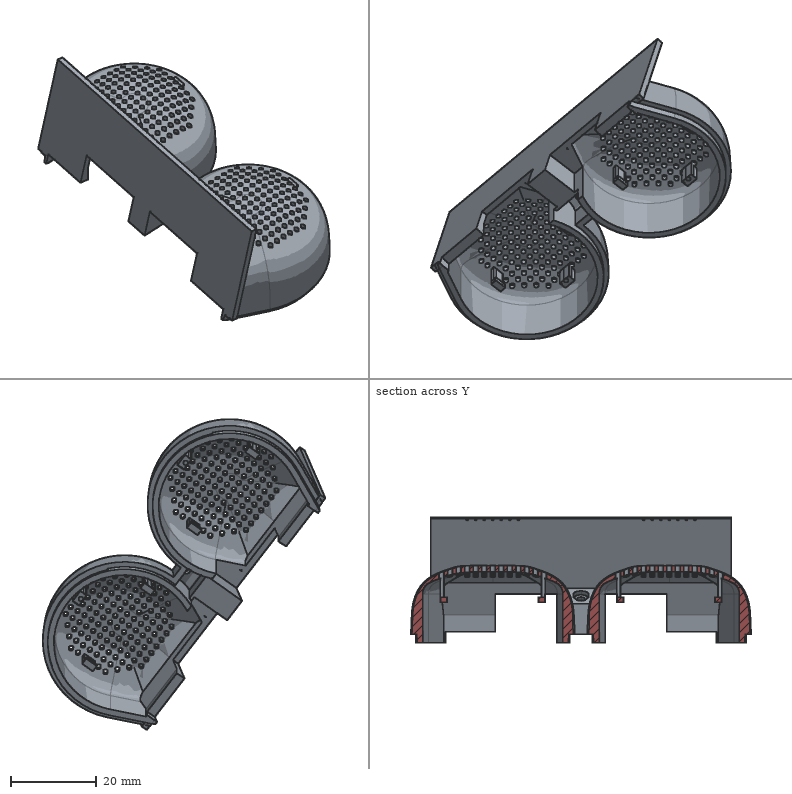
import cadquery as cq
import math

overall_width = 79.87
overall_height = 29.39
dome_radius = 19.25
dome_x = overall_width / 2 - dome_radius
far = 60.0

dome_base = 2.0
dome_top = 18.15
flat_radius = 3.3
wall_bend_radius = 18.75
wall_bend_height = 9.0
shoulder_radius = 15.6
shoulder_height = 14.7
crown_radius = 10.0
crown_height = 17.4
flank_angle = 24.6

cavity_radius = 16.6
cavity_bend_height = 11.5
cavity_shoulder_radius = 14.0
cavity_shoulder_height = 14.5
cavity_top = 16.65
ring_radius = 18.05
ring_groove_bottom = 1.05
ring_groove_radius = 17.05
ring_groove_start = 13.6

plate_width = 70.5
plate_thickness = 1.5
plate_angle = 12.5
plate_top_y = -11.15
plate_bottom_z = 2.2
ring_end_z = 0.2

opening_inner_x = 2.95
opening_outer_x = 20.05
opening_top = 11.4
opening_back_y = -7.2
slot_half_width = 11.07
slot_top = 3.1
slot_front_y = -17.0
slot_back_y = -13.0

bridge_half_width = 7.0
bridge_top = 12.75
bridge_bend_y = -6.1
bridge_arc_radius = 7.0
bridge_wall = 2.1
bridge_rear_wall = 1.5
bridge_hollow_front_y = -6.4
passage_top = 4.1

screw_y = -1.75
screw_diameter = 1.9
head_diameter = 3.65
head_depth = 1.25
screw_tilt = 35.0

hole_diameter = 1.1
hole_pitch = 2.0
grille_y = 1.77
grille_rows = [7, 9, 11, 13, 13, 13, 13, 13, 13, 11, 9, 7]

clip_half_width = 1.55
clip_outer = 12.3
clip_inner = 11.4
clip_top = 16.15
hook_reach = 10.7
hook_bottom = 9.5
hook_top = 10.7
back_clip_bottom = 10.5


def block(x_range, y_range, z_range):
    size = [high - low for low, high in (x_range, y_range, z_range)]
    corner = (x_range[0], y_range[0], z_range[0])
    return cq.Workplane("XY").box(*size, centered=False).translate(corner)


def outer_profile(plane):
    """Closed section of the dome, from its axis to its rim."""
    slant = (wall_bend_radius - dome_radius, wall_bend_height - dome_base)
    return (
        cq.Workplane(plane)
        .moveTo(0, dome_base)
        .lineTo(dome_radius, dome_base)
        .spline(
            [
                (wall_bend_radius, wall_bend_height),
                (shoulder_radius, shoulder_height),
                (crown_radius, crown_height),
                (flat_radius, dome_top),
            ],
            tangents=[slant, (-1, 0)],
            includeCurrent=True,
        )
        .lineTo(0, dome_top)
        .close()
    )


def cavity_profile(plane):
    """Closed section of the cavity: a straight wall under a rounded ceiling."""
    return (
        cq.Workplane(plane)
        .moveTo(0, 0)
        .lineTo(cavity_radius, 0)
        .lineTo(cavity_radius, cavity_bend_height)
        .spline(
            [(cavity_shoulder_radius, cavity_shoulder_height), (flat_radius, cavity_top)],
            tangents=[(0, 1), (-1, 0)],
            includeCurrent=True,
        )
        .lineTo(0, cavity_top)
        .close()
    )


def plan_sector(points):
    return cq.Workplane("XY").polyline(points).close().extrude(far)


def teardrop_body(profile):
    """Revolved back, two straight flanks tangent to it and a straight front, mitred together."""
    seam = math.radians(-flank_angle)
    mitre = math.radians(-(90 + flank_angle) / 2)
    corner = (flat_radius * math.cos(seam), flat_radius * math.sin(seam))
    corner_mirrored = (-corner[0], corner[1])
    seam_end = (far * math.cos(seam), far * math.sin(seam))
    mitre_end = (corner[0] + far * math.cos(mitre), corner[1] + far * math.sin(mitre))
    mitre_end_mirrored = (-mitre_end[0], mitre_end[1])

    round_back = (
        profile("XZ")
        .revolve(180 + 2 * flank_angle, (0, 0, 0), (0, 1, 0))
        .rotate((0, 0, 0), (0, 0, 1), -flank_angle)
    )
    prism = profile("XZ").extrude(far, both=True)
    flank = prism.rotate((0, 0, 0), (0, 0, 1), -flank_angle)
    flank = flank.intersect(plan_sector([corner, seam_end, mitre_end]))
    front_shift = flat_radius + corner[1]
    front = prism.rotate((0, 0, 0), (0, 0, 1), -90).translate((0, front_shift, 0))
    front = front.intersect(
        plan_sector([(0, 0), corner_mirrored, mitre_end_mirrored, mitre_end, corner])
    )
    return round_back.union(flank).union(flank.mirror("YZ")).union(front)


def teardrop_prism(radius, height):
    """Round outline with both flanks running on, tangentially, to beyond the plate."""
    angle = math.radians(flank_angle)
    tangent_x = radius * math.cos(angle)
    tangent_y = -radius * math.sin(angle)
    end_y = -radius - 1
    end_x = (radius + end_y * math.sin(angle)) / math.cos(angle)
    return (
        cq.Workplane("XY")
        .moveTo(end_x, end_y)
        .lineTo(tangent_x, tangent_y)
        .threePointArc((0, radius), (-tangent_x, tangent_y))
        .lineTo(-end_x, end_y)
        .close()
        .extrude(height)
    )


def at_dome(body):
    return body.translate((dome_x, 0, 0))


def leaning_slab(width, thickness, bottom_z):
    """Slab behind the plate's outer plane; `bottom_z` is its lower outer edge."""
    lean = math.radians(plate_angle)
    length = (overall_height - bottom_z) / math.cos(lean)
    return (
        cq.Workplane("XY")
        .box(width, thickness, length, centered=(True, False, False))
        .translate((0, 0, -length))
        .rotate((0, 0, 0), (1, 0, 0), -plate_angle)
        .translate((0, plate_top_y, overall_height))
    )


def locating_ring():
    groove = teardrop_prism(far, dome_base).cut(teardrop_prism(ring_groove_radius, dome_base))
    groove = groove.intersect(
        block((-far, far), (ring_groove_start, far), (ring_groove_bottom, dome_base))
    )
    return teardrop_prism(ring_radius, dome_base).cut(groove)


def bridge_profile(inset, rear_inset, bottom, front):
    """Side outline of the bridge, moved inwards by `inset` on top and `rear_inset` at the back."""
    radius = bridge_arc_radius - inset
    centre_z = bridge_top - bridge_arc_radius
    rear_y = -rear_inset

    def arc_z(y):
        return centre_z + math.sqrt(radius**2 - (y - bridge_bend_y) ** 2)

    middle_y = (rear_y + bridge_bend_y) / 2
    return (
        cq.Workplane("YZ")
        .moveTo(rear_y, bottom)
        .lineTo(rear_y, arc_z(rear_y))
        .threePointArc((middle_y, arc_z(middle_y)), (bridge_bend_y, centre_z + radius))
        .lineTo(front, centre_z + radius)
        .lineTo(front, bottom)
        .close()
        .extrude(bridge_half_width)
    )


def screw_hole():
    rise = math.sqrt(bridge_arc_radius**2 - (screw_y - bridge_bend_y) ** 2)
    surface_z = bridge_top - bridge_arc_radius + rise
    clearance = 3.0
    bore_length = head_depth + clearance
    head = cq.Workplane("XY").circle(head_diameter / 2).extrude(head_depth + clearance)
    head = head.translate((0, 0, -head_depth))
    bore = cq.Workplane("XY").circle(screw_diameter / 2).extrude(-bore_length)
    tool = head.union(bore).rotate((0, 0, 0), (1, 0, 0), -screw_tilt)
    return tool.translate((0, screw_y, surface_z))


def grille_holes():
    points = []
    for row, count in enumerate(grille_rows):
        y = grille_y + ((len(grille_rows) - 1) / 2 - row) * hole_pitch
        for column in range(count):
            points.append(((column - (count - 1) / 2) * hole_pitch, y))
    return (
        cq.Workplane("XY")
        .workplane(offset=hook_top)
        .pushPoints(points)
        .circle(hole_diameter / 2)
        .extrude(overall_height)
    )


def speaker_clips():
    width = (-clip_half_width, clip_half_width)
    side_clip = block((clip_inner, clip_outer), width, (hook_bottom, clip_top))
    side_clip = side_clip.union(block((hook_reach, clip_outer), width, (hook_bottom, hook_top)))
    back_clip = block((clip_inner - 1, clip_outer), width, (back_clip_bottom, clip_top))
    clips = side_clip.union(side_clip.mirror("YZ"))
    clips = clips.union(back_clip.rotate((0, 0, 0), (0, 0, 1), 90))
    return clips.translate((0, grille_y, 0))


def front_openings():
    """High opening beside the middle tab and a low slot square to the plate."""
    x_range = (opening_inner_x, opening_outer_x)
    opening = block(x_range, (-far, opening_back_y), (0, opening_top))
    slot_depth = slot_back_y - slot_front_y
    slot = block((-slot_half_width, slot_half_width), (-far, slot_depth), (-far, 0))
    slot = slot.rotate((0, 0, 0), (1, 0, 0), -plate_angle).translate((0, slot_front_y, slot_top))
    return opening.union(at_dome(slot))


ring_core = at_dome(teardrop_prism(ring_radius, bridge_top))
passage = block((0, bridge_half_width), (-far, -bridge_rear_wall), (0, passage_top))
passage = passage.cut(ring_core)
hollow = bridge_profile(bridge_wall, bridge_rear_wall, 0, bridge_hollow_front_y).cut(ring_core)
bridge = bridge_profile(0, 0, dome_base, plate_top_y - dome_radius)

half = at_dome(teardrop_body(outer_profile).union(locating_ring())).union(bridge)
half = half.cut(hollow).cut(passage)
half = half.intersect(leaning_slab(2 * far, far, ring_end_z))
plate = leaning_slab(plate_width, plate_thickness, plate_bottom_z)
half = half.union(plate.intersect(block((0, far), (-far, far), (0, far))))

cavity = at_dome(teardrop_body(cavity_profile)).cut(plate)
half = half.cut(cavity).cut(front_openings()).cut(passage).cut(screw_hole())

half = half.union(at_dome(speaker_clips()))
half = half.cut(at_dome(grille_holes()))

result = half.union(half.mirror("YZ"))